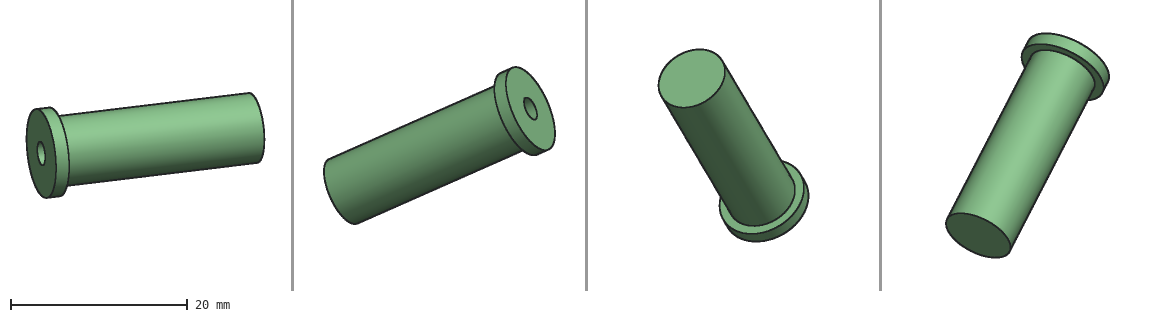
import cadquery as cq
import math

overall_length = 25.4
head_diameter = 10.16
head_thickness = 1.5748
shank_diameter = 8.0
hole_diameter = 2.7
hole_depth = 12.7
drill_point_angle = 118.0

hole_radius = hole_diameter / 2
drill_point_length = hole_radius / math.tan(math.radians(drill_point_angle / 2))


def make_headed_pin():
    """Round pin along +Y, with the outer face of its head on the plane Y = 0."""
    head = cq.Workplane("XZ").circle(head_diameter / 2).extrude(-head_thickness)
    shank = cq.Workplane("XZ").circle(shank_diameter / 2).extrude(-overall_length)
    return head.union(shank)


def make_drilled_hole():
    """Blind hole on the pin axis, entering through the head and ending in a cone."""
    half_profile = (
        cq.Workplane("XY")
        .lineTo(hole_radius, 0)
        .lineTo(hole_radius, hole_depth)
        .lineTo(0, hole_depth + drill_point_length)
        .close()
    )
    return half_profile.revolve(360, (0, 0, 0), (0, 1, 0))


result = make_headed_pin().cut(make_drilled_hole())